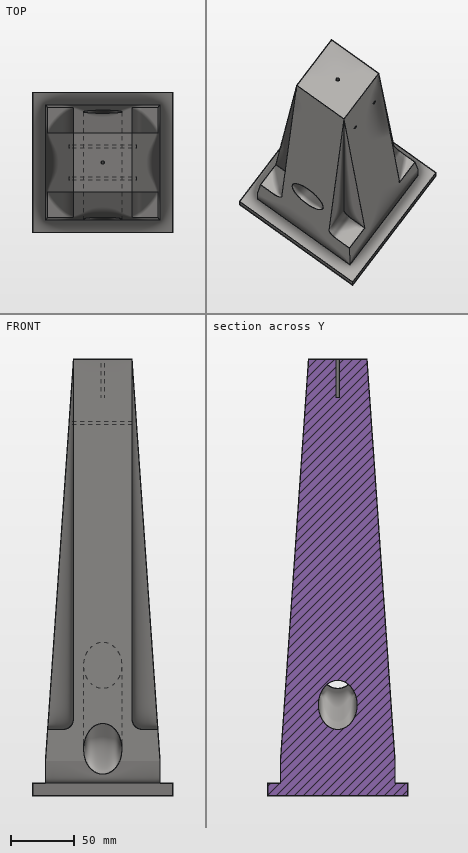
import cadquery as cq
import math

SLAB_SIDE = 110.0
SLAB_HEIGHT = 10.0
TOTAL_HEIGHT = 342.0

SHAFT_SIDE = 90.0
TAPER_START = 27.0
TAPER_ANGLE = 4.0

CROSS_WIDTH = 46.0
POCKET_FLOOR = 52.0
POCKET_FILLET = 8.0

TUNNEL_DIAMETER = 30.0
TUNNEL_ANGLE = 38.0
TUNNEL_ENTRY_Z = 36.0

PIN_DIAMETER = 2.5
PIN_SPACING = 25.0
PIN_BELOW_TOP = 50.0
TOP_HOLE_DIAMETER = 2.5
TOP_HOLE_DEPTH = 30.0


def make_obelisk():
    """Slab, straight foot and tapered shaft joined together."""
    slab = cq.Workplane("XY").rect(SLAB_SIDE, SLAB_SIDE).extrude(SLAB_HEIGHT)
    foot = cq.Workplane("XY").rect(SHAFT_SIDE, SHAFT_SIDE).extrude(TAPER_START)
    taper = (
        cq.Workplane("XY")
        .workplane(offset=TAPER_START)
        .rect(SHAFT_SIDE, SHAFT_SIDE)
        .extrude(TOTAL_HEIGHT - TAPER_START, taper=TAPER_ANGLE)
    )
    return slab.union(foot).union(taper)


def make_corner_pocket(x_side, y_side):
    """Cutter for one corner, rounded where its floor meets the wall facing X."""
    inner = CROSS_WIDTH / 2
    size = SLAB_SIDE / 2
    height = TOTAL_HEIGHT - POCKET_FLOOR
    center = inner + size / 2
    pocket = cq.Workplane("XY").box(size, size, height, centered=(True, True, False))
    inner_wall = "<X" if x_side > 0 else ">X"
    pocket = pocket.faces(inner_wall).edges("<Z").fillet(POCKET_FILLET)
    return pocket.translate((x_side * center, y_side * center, POCKET_FLOOR))


def make_tunnel():
    """Round bore whose axis lies in the YZ plane and enters the foot's -Y side at TUNNEL_ENTRY_Z."""
    angle = math.radians(TUNNEL_ANGLE)
    direction = cq.Vector(0, math.cos(angle), math.sin(angle))
    entry = cq.Vector(0, -SHAFT_SIDE / 2, TUNNEL_ENTRY_Z)
    overrun = TUNNEL_DIAMETER / 2
    length = SHAFT_SIDE / math.cos(angle) + 2 * overrun
    start = entry - direction * overrun
    return cq.Workplane(cq.Solid.makeCylinder(TUNNEL_DIAMETER / 2, length, start, direction))


def make_pin_holes():
    """Pair of bores running along X through the upper shaft."""
    return (
        cq.Workplane("YZ")
        .workplane(offset=-SHAFT_SIDE / 2)
        .center(0, TOTAL_HEIGHT - PIN_BELOW_TOP)
        .rarray(PIN_SPACING, 1, 2, 1)
        .circle(PIN_DIAMETER / 2)
        .extrude(SHAFT_SIDE)
    )


def make_top_hole():
    """Blind hole on the axis, opening at the top."""
    return (
        cq.Workplane("XY")
        .workplane(offset=TOTAL_HEIGHT)
        .circle(TOP_HOLE_DIAMETER / 2)
        .extrude(-TOP_HOLE_DEPTH)
    )


result = make_obelisk()

for x_side in (-1, 1):
    for y_side in (-1, 1):
        result = result.cut(make_corner_pocket(x_side, y_side))

result = result.cut(make_tunnel()).cut(make_pin_holes()).cut(make_top_hole())